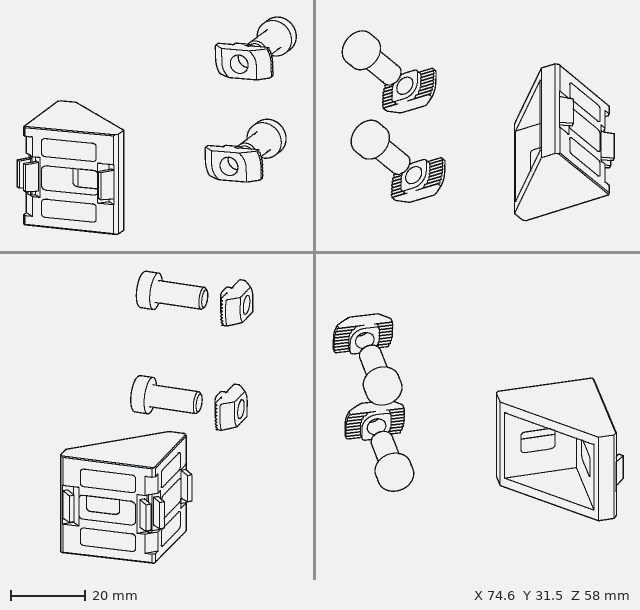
import cadquery as cq
import math

ROOT2 = math.sqrt(2)

leg_length = 27.2
leg_end_width = 5.3
corner_chamfer = 0.75
leg_tip_chamfer = 1.0
rim_chamfer = 0.3
bracket_half_height = 14.0
draft_angle = 0.5
wall_thickness = 6.25
end_plate_thickness = 3.05

window_start = 5.5
window_end = 21.6
window_half_height = 3.4
window_side_run = 6.7
window_fillet = 1.05

pocket_start = 5.5
pocket_end = 21.15
pocket_depth = 2.5
pocket_low = 5.95
pocket_high = 11.0
pocket_fillet = 0.75

corner_recess_reach = 2.8
corner_recess_half_height = 11.1
corner_notch_reach = 5.0
end_notch_start = window_end
end_notch_end = 26.35
notch_half_height = 5.6

tab_width = 1.4
tab_length = 3.9
tab_root_half_height = 4.0
tab_tip_half_height = 3.8
corner_tab_across = 1.35
end_tab_across = 17.0
corner_rib_width = 1.05
corner_rib_length = 0.9

head_diameter = 10.0
head_height = 4.0
head_fillet = 0.5
shank_diameter = 6.0
shank_length = 14.0
shank_chamfer = 0.6
neck_fillet = 0.3

nut_half_length = 8.05
nut_half_width = 4.0
nut_corner_fillet = 0.5
nut_rim_height = 1.5
nut_taper = 3.05
boss_half_length = nut_half_width
boss_corner_fillet = 1.05
boss_height = 1.5
nut_bore = 5.1
tooth_count = 8
tooth_pitch = 2 * nut_half_width / tooth_count
tooth_depth = tooth_pitch / 2

nut_to_bolt_tip = 7.45
tilt_x = 1.1
tilt_y = -1.1
tilt_z = -1.1
fastener_places = [(63.9, 0.4, 38.55), (60.75, 0.9, 9.5)]


def prism(points, z_low, z_high):
    """Polygon in plan, extruded between two heights."""
    return cq.Workplane("XY").workplane(offset=z_low).polyline(points).close().extrude(z_high - z_low)


def with_mirror(shape):
    """The shape together with its copy for the other leg."""
    return shape.union(shape.mirror(cq.Vector(1, -1, 0)))


def diagonal_plane(across):
    """Upright plane along the X = Y direction, at a distance from the X = Y plane."""
    origin = (across / ROOT2, -across / ROOT2, 0)
    return cq.Workplane(cq.Plane(origin=origin, xDir=(1, 1, 0), normal=(1, -1, 0)))


def bracket_blank():
    outline = [
        (corner_chamfer, 0),
        (leg_length - leg_tip_chamfer, 0),
        (leg_length, leg_tip_chamfer),
        (leg_length, leg_end_width),
        (leg_end_width, leg_length),
        (leg_tip_chamfer, leg_length),
        (0, leg_length - leg_tip_chamfer),
        (0, corner_chamfer),
    ]
    blank = prism(outline, -bracket_half_height, bracket_half_height)
    depth = (leg_length + leg_end_width) / ROOT2
    corner_half_height = bracket_half_height - depth * math.tan(math.radians(draft_angle))
    side_profile = [
        (0, -corner_half_height),
        (depth, -bracket_half_height),
        (depth, bracket_half_height),
        (0, corner_half_height),
    ]
    drafted = diagonal_plane(0).polyline(side_profile).close().extrude(leg_length, both=True)
    blank = blank.intersect(drafted)
    for outer_face in ("<X", "<Y"):
        blank = blank.faces(outer_face).edges("not |Z").chamfer(rim_chamfer)
    return blank


def cavity():
    """Hollow behind the two walls, open to the sloped side."""
    half_height = bracket_half_height - end_plate_thickness
    corners = [(wall_thickness, wall_thickness), (leg_length, wall_thickness), (wall_thickness, leg_length)]
    return prism(corners, -half_height, half_height)


def window():
    """Opening through one wall, with a slanted side next to the corner."""
    outline = [
        (window_start, 0),
        (window_end, 0),
        (window_end, wall_thickness),
        (window_start + window_side_run, wall_thickness),
    ]
    opening = prism(outline, -window_half_height, window_half_height)
    return opening.edges("(not |Z) and (not |X)").fillet(window_fillet)


def pocket():
    outline = [
        (pocket_start, 0),
        (pocket_end, 0),
        (pocket_end - pocket_depth, pocket_depth),
        (pocket_start + pocket_depth, pocket_depth),
    ]
    return prism(outline, pocket_low, pocket_high).edges("not <Y").fillet(pocket_fillet)


def end_notch():
    middle = (end_notch_start + end_notch_end) / 2
    depth = (end_notch_end - end_notch_start) / 2
    outline = [(end_notch_start, 0), (middle, depth), (end_notch_end, 0)]
    return prism(outline, -notch_half_height, notch_half_height)


def corner_cut(reach, half_height):
    """Flat cut across the outer corner."""
    return prism([(0, 0), (reach, 0), (0, reach)], -half_height, half_height)


def tab(across, root):
    """Tapered bar standing on a notch floor, which is at a diagonal distance from the corner."""
    tip = root - tab_length
    profile = [
        (tip, -tab_tip_half_height),
        (root, -tab_root_half_height),
        (root, tab_root_half_height),
        (tip, tab_tip_half_height),
    ]
    return diagonal_plane(across).polyline(profile).close().extrude(tab_width)


def corner_rib(root):
    """Low rib between the two corner tabs."""
    middle = root - corner_rib_length / 2
    sketch = diagonal_plane(-corner_rib_width / 2).center(middle, 0)
    return sketch.rect(corner_rib_length, 2 * notch_half_height).extrude(corner_rib_width)


def make_bracket():
    body = bracket_blank().cut(cavity())
    body = body.cut(with_mirror(window()))
    upper_pocket = pocket()
    for one_pocket in (upper_pocket, upper_pocket.mirror("XY")):
        body = body.cut(with_mirror(one_pocket))
    body = body.cut(corner_cut(corner_recess_reach, corner_recess_half_height))
    body = body.cut(corner_cut(corner_notch_reach, notch_half_height))
    body = body.cut(with_mirror(end_notch()))
    corner_floor = corner_notch_reach / ROOT2
    end_floor = end_notch_end / ROOT2
    body = body.union(with_mirror(tab(corner_tab_across, corner_floor)))
    body = body.union(with_mirror(tab(end_tab_across, end_floor)))
    return body.union(corner_rib(corner_floor))


def make_bolt():
    """Bolt along Y with its tip at Y = nut_to_bolt_tip and its head on the +Y end."""
    bearing = nut_to_bolt_tip + shank_length
    head_plane = cq.Workplane("XZ", origin=(0, bearing, 0))
    head = head_plane.circle(head_diameter / 2).extrude(-head_height)
    head = head.faces(">Y").edges().fillet(head_fillet)
    shank = head_plane.circle(shank_diameter / 2).extrude(shank_length)
    shank = shank.faces("<Y").edges().chamfer(shank_chamfer)
    bolt = head.union(shank)
    neck_edge = bolt.faces("<Y[-2]").edges(cq.selectors.RadiusNthSelector(0))
    return neck_edge.fillet(neck_fillet)


def hammer_prism(half_length, corner_fillet, y_low, y_high):
    """Bar along X with two opposite corners rounded about the axis and the other two filleted."""
    arc_end = math.sqrt(half_length**2 - nut_half_width**2)
    arc_angle = math.asin(nut_half_width / half_length) / 2
    arc_x = half_length * math.cos(arc_angle)
    arc_z = half_length * math.sin(arc_angle)
    outline = (
        cq.Workplane("XZ", origin=(0, y_high, 0))
        .moveTo(half_length, 0)
        .threePointArc((arc_x, arc_z), (arc_end, nut_half_width))
        .lineTo(-half_length, nut_half_width)
        .lineTo(-half_length, 0)
        .threePointArc((-arc_x, -arc_z), (-arc_end, -nut_half_width))
        .lineTo(half_length, -nut_half_width)
        .close()
    )
    bar = outline.extrude(y_high - y_low)
    upper_corner = bar.faces("<X").edges("|Y and >Z")
    lower_corner = bar.faces(">X").edges("|Y and <Z")
    return upper_corner.add(lower_corner).fillet(corner_fillet)


def nut_taper_envelope():
    """45 degree ends: flat on the square quarters, conical on the rounded quarters."""
    bottom = -nut_rim_height - nut_taper
    half_profile = [
        (0, 0),
        (nut_half_length, 0),
        (nut_half_length, -nut_rim_height),
        (nut_half_length - nut_taper, bottom),
        (0, bottom),
    ]
    turned = cq.Workplane("XY").polyline(half_profile).close().revolve(360, (0, 0, 0), (0, 1, 0))
    flat = cq.Workplane("XY").polyline(half_profile).close().extrude(-nut_half_width)
    opposite_flat = flat.rotate((0, 0, 0), (0, 1, 0), 180)
    return turned.union(flat).union(opposite_flat)


def tooth_grooves():
    """V grooves along X across the clamping face, with a tooth crest on the centre line."""
    grooves = cq.Workplane("YZ", origin=(-nut_half_length, 0, 0))
    for index in range(tooth_count):
        root = (index + 0.5) * tooth_pitch - nut_half_width
        corners = [(0, root - tooth_pitch / 2), (-tooth_depth, root), (0, root + tooth_pitch / 2)]
        grooves = grooves.polyline(corners).close()
    return grooves.extrude(2 * nut_half_length)


def make_nut():
    """Slot nut on the Y axis with its tooth crests on Y = 0 and its boss towards the bolt."""
    bottom = -nut_rim_height - nut_taper
    body = hammer_prism(nut_half_length, nut_corner_fillet, bottom, 0)
    body = body.intersect(nut_taper_envelope()).cut(tooth_grooves())
    boss = hammer_prism(boss_half_length, boss_corner_fillet, -tooth_depth, boss_height)
    bore = cq.Workplane("XZ", origin=(0, boss_height, 0)).circle(nut_bore / 2).extrude(boss_height - bottom)
    return body.union(boss).cut(bore)


def place_fastener(shape, position):
    origin = (0, 0, 0)
    tilted = shape.rotate(origin, (1, 0, 0), tilt_x)
    tilted = tilted.rotate(origin, (0, 1, 0), tilt_y)
    tilted = tilted.rotate(origin, (0, 0, 1), tilt_z)
    return tilted.translate(position)


bracket = make_bracket()
nuts = [place_fastener(make_nut(), position) for position in fastener_places]
bolts = [place_fastener(make_bolt(), position) for position in fastener_places]

fasteners = [fastener.solids().val() for fastener in nuts + bolts]
result = cq.Compound.makeCompound([bracket.solids().val(), *fasteners])